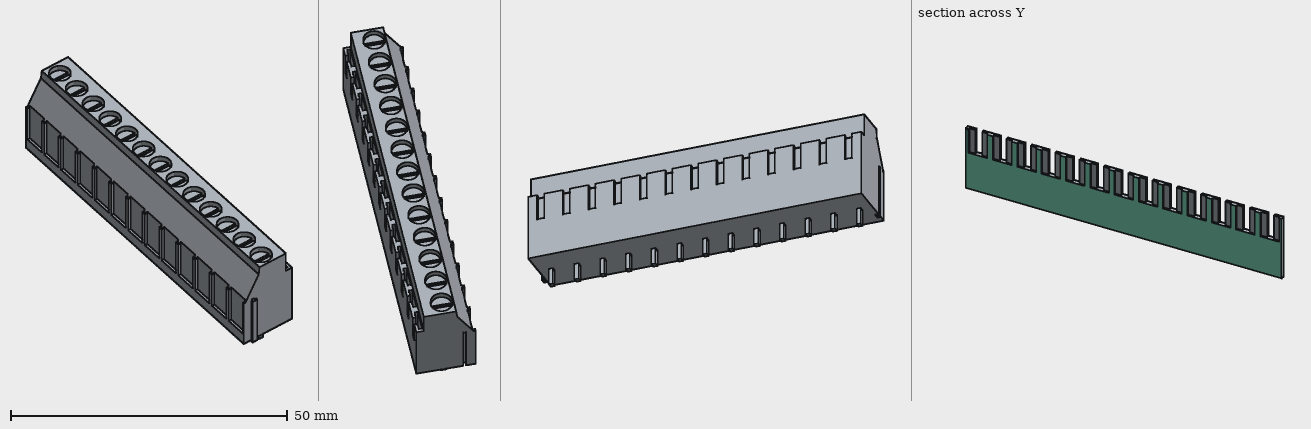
import cadquery as cq

POLE_COUNT = 13
PITCH = 5.0
BODY_LENGTH = POLE_COUNT * PITCH
FIRST_POLE_X = 2.55
POLE_CENTRES = [FIRST_POLE_X + i * PITCH for i in range(POLE_COUNT)]

BODY_DEPTH = 11.0
BODY_HEIGHT = 17.1
LEDGE_DEPTH = 0.35
LEDGE_HEIGHT = 10.1
SLOPE_TOP_Y = 3.4
SLOPE_TOP_Z = 15.4
TOP_FRONT_Y = 3.6
BACK_STEP_DEPTH = 1.4
BACK_STEP_HEIGHT = 12.75

PIN_WIDTH = 0.8
PIN_DEPTH = 1.0
PIN_LENGTH = 3.2
PIN_Y = BODY_DEPTH / 2

POCKET_WIDTH = 4.25
POCKET_OFFSET = 0.05
POCKET_DEPTH = 0.56
POCKET_BOTTOM = 2.4

WELL_DIAMETER = 4.0
WELL_DEPTH = 1.15
WELL_Y = 5.8
DRIVER_SLOT_WIDTH = 0.6
DRIVER_SLOT_DEPTH = 0.5

MARKER_MOUTH_WIDTH = 1.4
MARKER_WIDTH = 3.8
MARKER_LIP = 0.6
MARKER_REACH = 1.2
MARKER_SLOT_DEPTH = 5.0

JOINT_Y = 2.05
JOINT_HEIGHT = LEDGE_HEIGHT
TONGUE_LENGTH = 0.65
TONGUE_NECK_LENGTH = 0.3
TONGUE_NECK_WIDTH = 0.45
TONGUE_HEAD_WIDTH = 1.1
JOINT_CLEARANCE = 0.03


def box(x_min, x_max, y_min, y_max, z_min, z_max):
    """Axis-aligned box between the given limits."""
    size = (x_max - x_min, y_max - y_min, z_max - z_min)
    return cq.Workplane("XY").box(*size, centered=False).translate((x_min, y_min, z_min))


def centred_box(x, width, y_min, y_max, z_min, z_max):
    """Box whose X extent is centred on x."""
    return box(x - width / 2, x + width / 2, y_min, y_max, z_min, z_max)


def make_housing():
    """Stepped housing section extruded along the row of poles."""
    section = [
        (0, 0),
        (BODY_DEPTH, 0),
        (BODY_DEPTH, BACK_STEP_HEIGHT),
        (BODY_DEPTH - BACK_STEP_DEPTH, BACK_STEP_HEIGHT),
        (BODY_DEPTH - BACK_STEP_DEPTH, BODY_HEIGHT),
        (TOP_FRONT_Y, BODY_HEIGHT),
        (SLOPE_TOP_Y, SLOPE_TOP_Z),
        (LEDGE_DEPTH, LEDGE_HEIGHT),
        (0, LEDGE_HEIGHT),
    ]
    return cq.Workplane("YZ").polyline(section).close().extrude(BODY_LENGTH)


def make_wire_pocket(x):
    """Shallow pocket that runs up from its floor and out through the sloping face."""
    return centred_box(x + POCKET_OFFSET, POCKET_WIDTH, 0, POCKET_DEPTH, POCKET_BOTTOM, BODY_HEIGHT)


def make_screw_well(x):
    """Round well with a driver slot across its floor, running along Y."""
    floor = BODY_HEIGHT - WELL_DEPTH
    slot_bottom = floor - DRIVER_SLOT_DEPTH
    radius = WELL_DIAMETER / 2
    well = cq.Workplane("XY", origin=(x, WELL_Y, floor)).circle(radius).extrude(WELL_DEPTH)
    slot_bar = centred_box(x, DRIVER_SLOT_WIDTH, WELL_Y - radius, WELL_Y + radius, slot_bottom, floor)
    screw_head = cq.Workplane("XY", origin=(x, WELL_Y, slot_bottom)).circle(radius)
    slot = screw_head.extrude(DRIVER_SLOT_DEPTH).intersect(slot_bar)
    return well.union(slot)


def make_marker_slot(x):
    """T-shaped slot, open at the top of the back step and through the back face."""
    bottom = BACK_STEP_HEIGHT - MARKER_SLOT_DEPTH
    lip_y = BODY_DEPTH - MARKER_LIP
    inner_y = BODY_DEPTH - MARKER_REACH
    mouth = centred_box(x, MARKER_MOUTH_WIDTH, inner_y, BODY_DEPTH, bottom, BACK_STEP_HEIGHT)
    chamber = centred_box(x, MARKER_WIDTH, inner_y, lip_y, bottom, BACK_STEP_HEIGHT)
    return mouth.union(chamber)


def make_pin(x):
    """Rectangular solder pin below the housing."""
    return centred_box(x, PIN_WIDTH, PIN_Y - PIN_DEPTH / 2, PIN_Y + PIN_DEPTH / 2, -PIN_LENGTH, 0)


def make_joint(x, clearance):
    """T-section rail starting at x and pointing to +X, enlarged by the clearance."""
    neck_half = TONGUE_NECK_WIDTH / 2 + clearance
    head_half = TONGUE_HEAD_WIDTH / 2 + clearance
    head_start = x + TONGUE_NECK_LENGTH - clearance
    head_end = x + TONGUE_LENGTH + clearance
    neck = box(x, head_end, JOINT_Y - neck_half, JOINT_Y + neck_half, 0, JOINT_HEIGHT)
    head = box(head_start, head_end, JOINT_Y - head_half, JOINT_Y + head_half, 0, JOINT_HEIGHT)
    return neck.union(head)


result = make_housing()
for centre in POLE_CENTRES:
    result = result.cut(make_wire_pocket(centre))
    result = result.cut(make_screw_well(centre))
    result = result.cut(make_marker_slot(centre))
    result = result.union(make_pin(centre))
result = result.cut(make_joint(0, JOINT_CLEARANCE))
result = result.union(make_joint(BODY_LENGTH, 0))